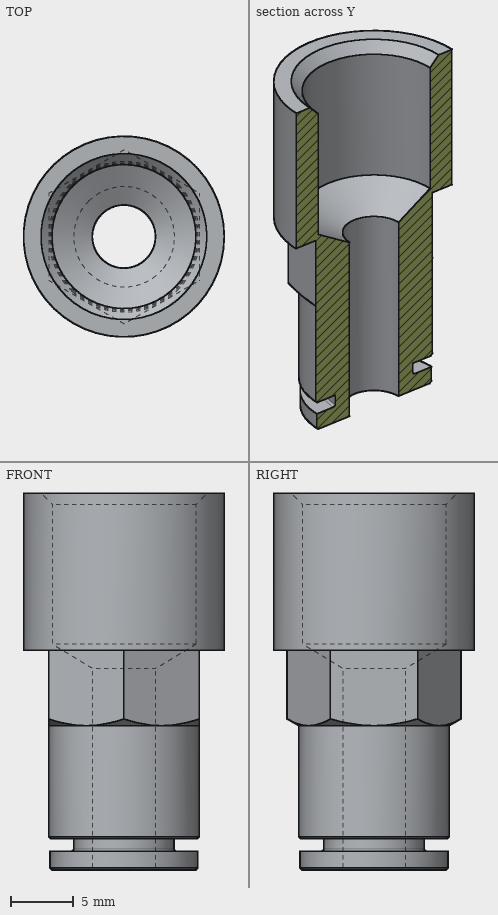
import cadquery as cq
import math

total_height = 30.0
collar_height = 1.5
groove_top = 2.5
sleeve_top = 11.5
hex_top = 17.5

head_diameter = 16.0
hex_across_flats = 12.0
sleeve_diameter = hex_across_flats
groove_diameter = 8.0
collar_diameter = 11.8
edge_chamfer = 0.18
groove_fillet = 0.18
hex_chamfer_angle = 30.0

socket_diameter = 11.45
socket_mouth_diameter = 13.2
socket_depth = 12.0
socket_cone_angle = 118.0
passage_diameter = 5.0


def cylinder(diameter, bottom, top):
    return cq.Workplane("XY").workplane(offset=bottom).circle(diameter / 2).extrude(top - bottom)


def chamfered_hex():
    """Hexagon with flats facing +X and -X, its lower corners cut by a cone."""
    corner_radius = hex_across_flats / 2 / math.cos(math.radians(30))
    prism = (
        cq.Workplane("XY")
        .workplane(offset=sleeve_top)
        .polygon(6, 2 * corner_radius)
        .extrude(hex_top - sleeve_top)
        .rotate((0, 0, 0), (0, 0, 1), 30)
    )
    flat_radius = hex_across_flats / 2
    cone_top = sleeve_top + (corner_radius - flat_radius) * math.tan(math.radians(hex_chamfer_angle))
    envelope = (
        cq.Workplane("XZ")
        .moveTo(0, sleeve_top)
        .lineTo(flat_radius, sleeve_top)
        .lineTo(corner_radius, cone_top)
        .lineTo(corner_radius, hex_top)
        .lineTo(0, hex_top)
        .close()
        .revolve(360, (0, 0, 0), (0, 1, 0))
    )
    return prism.intersect(envelope)


def bore():
    """Through passage opening by a drill-point cone into the chamfered socket."""
    passage_radius = passage_diameter / 2
    socket_radius = socket_diameter / 2
    mouth_radius = socket_mouth_diameter / 2
    socket_floor = total_height - socket_depth
    cone_depth = (socket_radius - passage_radius) / math.tan(math.radians(socket_cone_angle / 2))
    mouth_depth = mouth_radius - socket_radius
    return (
        cq.Workplane("XZ")
        .lineTo(passage_radius, 0)
        .lineTo(passage_radius, socket_floor - cone_depth)
        .lineTo(socket_radius, socket_floor)
        .lineTo(socket_radius, total_height - mouth_depth)
        .lineTo(mouth_radius, total_height)
        .lineTo(0, total_height)
        .close()
        .revolve(360, (0, 0, 0), (0, 1, 0))
    )


collar = cylinder(collar_diameter, 0, collar_height).edges("<Z").chamfer(edge_chamfer)
groove_core = cylinder(groove_diameter, 0, sleeve_top)
collar_and_core = (
    groove_core.union(collar)
    .edges(cq.selectors.RadiusNthSelector(0))
    .edges(cq.selectors.NearestToPointSelector((0, 0, collar_height)))
    .fillet(groove_fillet)
)
sleeve = cylinder(sleeve_diameter, groove_top, sleeve_top).edges("<Z").chamfer(edge_chamfer)
head = cylinder(head_diameter, hex_top, total_height)

body = collar_and_core.union(sleeve).union(chamfered_hex()).union(head)
result = body.cut(bore())